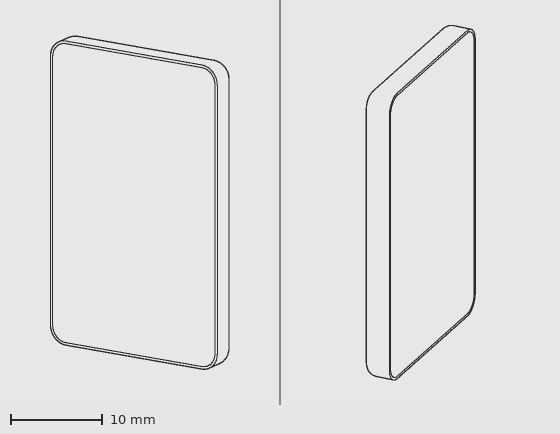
import cadquery as cq

width = 21.5
depth = 3.2
height = 34.5

wall = 0.3
corner_radius = 2.0
back_edge_radius = 1.1

inner_corner_radius = corner_radius - wall
inner_edge_radius = back_edge_radius - wall


def rounded_block(size_x, size_y, size_z, vertical_radius, back_radius):
    """Block from y = 0 to size_y with rounded corners and a rounded +Y rim."""
    block = cq.Workplane("XY").box(size_x, size_y, size_z, centered=(True, False, True))
    return block.edges("|Y").fillet(vertical_radius).faces(">Y").edges().fillet(back_radius)


outer = rounded_block(width, depth, height, corner_radius, back_edge_radius)

cavity = rounded_block(
    width - 2 * wall,
    depth - wall,
    height - 2 * wall,
    inner_corner_radius,
    inner_edge_radius,
)

result = outer.cut(cavity).translate((0, -depth / 2, 0))